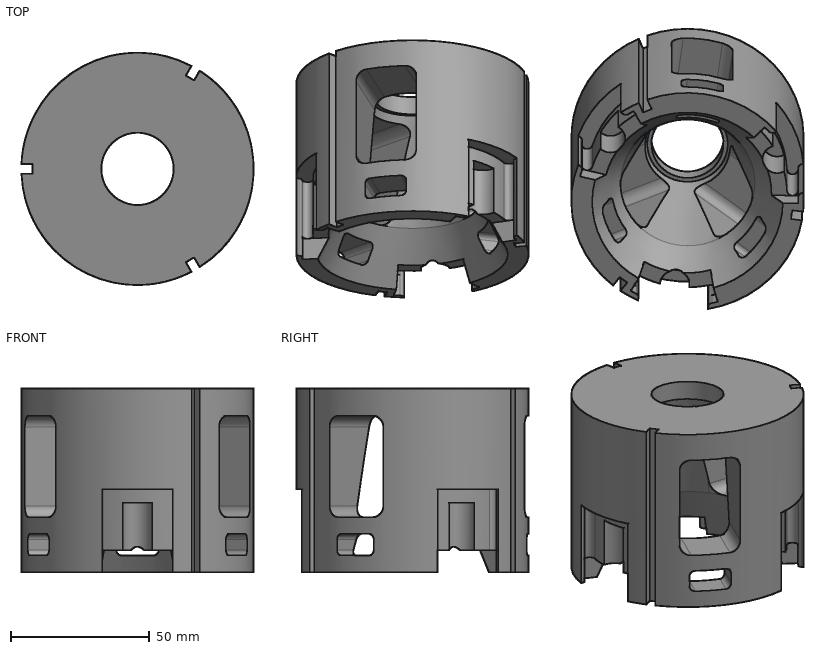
import cadquery as cq
import math

outer_radius = 42.0
height = 66.5
bore_radius = 13.0
bore_length = 6.7
cavity_top_radius = 14.5
cavity_knee_radius = 24.3
cavity_knee_height = 20.0
cavity_mouth_radius = 34.4

key_slot_angles = (60, 180, 300)
window_angles = (90, 210, 330)
pocket_angles = (30, 150, 270)

key_slot_width = 3.4
key_slot_depth = 4.0

large_window = (22.35, 20.0, 56.6, 4.0)
small_window = (15.3, 6.1, 13.95, 2.0)

opening_width = 25.4
pocket_top = 30.0
pocket_inner_radius = 35.95
pocket_outer_radius = 40.0
pocket_end_angle = 20.3
pocket_middle_radius = (pocket_inner_radius + pocket_outer_radius) / 2
pocket_end_radius = (pocket_outer_radius - pocket_inner_radius) / 2
pocket_tip_angle = pocket_end_angle + math.degrees(math.asin(pocket_end_radius / pocket_middle_radius))
pocket_tip_radius = math.sqrt(pocket_middle_radius**2 - pocket_end_radius**2)
pocket_floor = 8.0
lip_fillet = 1.7
groove_centre_radius = 35.0
groove_radius = 5.3
groove_top = 25.1

margin = 0.4


def polar(radius, angle):
    """Point at a given radius and angle, in the XY plane."""
    return (radius * math.cos(math.radians(angle)), radius * math.sin(math.radians(angle)))


def mirrored(point):
    """Point reflected across the X axis."""
    return (point[0], -point[1])


def make_body():
    """Cylinder with a bore in the top and a two-stage conical cavity below it."""
    bore_bottom = height - bore_length
    profile = [
        (outer_radius, 0),
        (outer_radius, height),
        (bore_radius, height),
        (bore_radius, bore_bottom),
        (cavity_top_radius, bore_bottom),
        (cavity_knee_radius, cavity_knee_height),
        (cavity_mouth_radius, 0),
    ]
    return cq.Workplane("XZ").polyline(profile).close().revolve(360, (0, 0), (0, 1))


def make_key_slot():
    """Full-height slot cutter on the +X side."""
    return (
        cq.Workplane("XY")
        .center(outer_radius, 0)
        .rect(2 * key_slot_depth, key_slot_width)
        .extrude(height)
    )


def make_window(width, bottom, top, corner_radius):
    """Rounded window cutter running from the axis out through the +X wall."""
    return (
        cq.Workplane("YZ")
        .center(0, (bottom + top) / 2)
        .rect(width, top - bottom)
        .extrude(outer_radius + margin)
        .edges("|X")
        .fillet(corner_radius)
    )


def make_arc_slot():
    """Arc-shaped cutter with round ends, centred on +X, up to the top of the pocket."""
    inner_corner = polar(pocket_inner_radius, pocket_end_angle)
    outer_corner = polar(pocket_outer_radius, pocket_end_angle)
    tip = polar(pocket_tip_radius, pocket_tip_angle)
    return (
        cq.Workplane("XY")
        .moveTo(*mirrored(inner_corner))
        .threePointArc((pocket_inner_radius, 0), inner_corner)
        .threePointArc(tip, outer_corner)
        .threePointArc((pocket_outer_radius, 0), mirrored(outer_corner))
        .threePointArc(mirrored(tip), mirrored(inner_corner))
        .close()
        .extrude(pocket_top)
    )


def make_sector():
    """Pie-slice cutter that opens the pocket into the cavity near the bottom rim."""
    corner = polar(pocket_outer_radius, pocket_tip_angle)
    return (
        cq.Workplane("XY")
        .lineTo(*mirrored(corner))
        .threePointArc((pocket_outer_radius, 0), corner)
        .close()
        .extrude(pocket_floor)
    )


def add_opening(recess, top):
    """Join a recess to the outside by a straight-sided opening with rounded inner lips."""
    lip_y = opening_width / 2
    lip_x = math.sqrt(pocket_outer_radius**2 - lip_y**2)
    opening = (
        cq.Workplane("XY")
        .box(outer_radius + margin, opening_width, top, centered=(False, True, False))
        .cut(cq.Workplane("XY").circle(pocket_middle_radius).extrude(top))
    )
    lip_edges = cq.selectors.BoxSelector(
        (lip_x - margin, -lip_y - margin, 0),
        (lip_x + margin, lip_y + margin, top),
    )
    return recess.union(opening).edges("|Z").edges(lip_edges).fillet(lip_fillet)


def make_pocket():
    """Arc pocket and sector with their opening, and the vertical groove in the inner wall."""
    groove = cq.Workplane("XY").center(groove_centre_radius, 0).circle(groove_radius).extrude(groove_top)
    upper = add_opening(make_arc_slot(), pocket_top)
    lower = add_opening(make_sector(), pocket_floor)
    return upper.union(lower).union(groove)


def cut_at_angles(body, cutter, angles):
    """Cut the body with copies of a +X cutter turned to each angle."""
    for angle in angles:
        body = body.cut(cutter.rotate((0, 0, 0), (0, 0, 1), angle))
    return body


result = make_body()
result = cut_at_angles(result, make_key_slot(), key_slot_angles)
result = cut_at_angles(result, make_window(*large_window), window_angles)
result = cut_at_angles(result, make_window(*small_window), window_angles)
result = cut_at_angles(result, make_pocket(), pocket_angles)